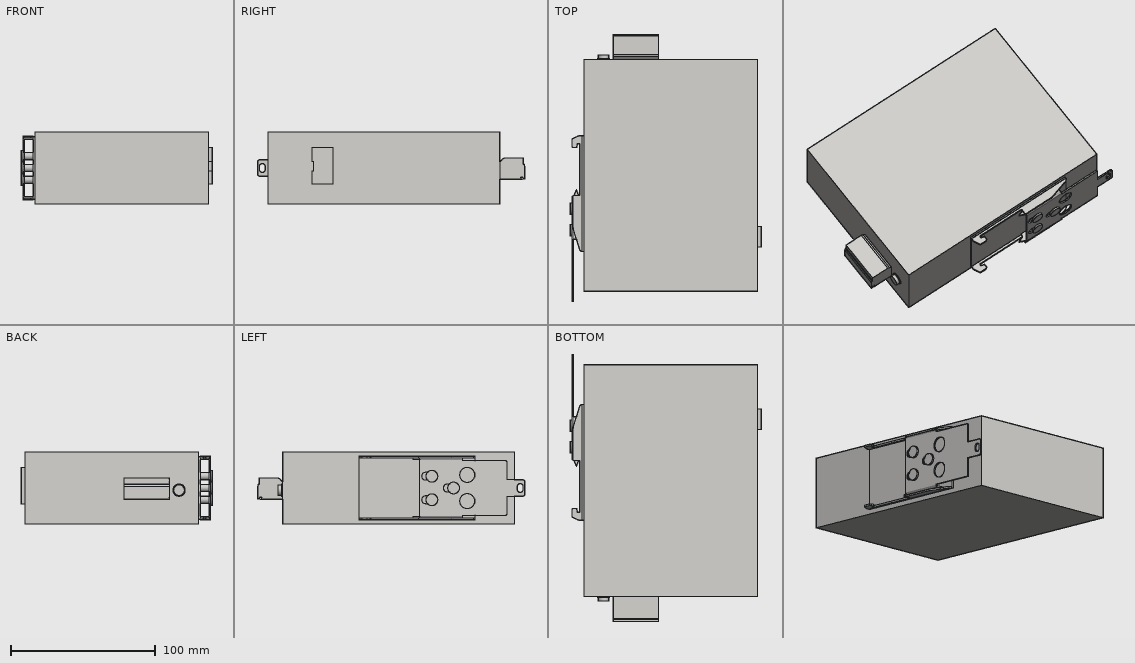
import cadquery as cq


case_depth = 120.2
case_length = 160.3
case_height = 50.0

bracket_half_height = 22.0
sheet = 1.2
web_inset = 0.4
bracket_start = 27.4
bracket_end = 107.5
rail_seat = 3.0
flange_depth = 7.5
flange_step_y = 66.4
taper_start_y = 43.6
flange_end_chamfer = 1.1

hook_depth = 8.3
hook_tip_y = 99.3
hook_chamfer = 0.7
hook_inner_x = 5.0
hook_root_x = 4.5
hook_root_y = 101.9
hook_slope_y = 105.4
hook_slope_x = 3.5

clip_depth = 8.3
clip_sheet = 1.1
clip_half_width = bracket_half_height - sheet
clip_end_y = 65.6
clip_flange_start = 35.9
tongue_half_width = 18.9
tongue_start = 5.4
tongue_corner = 0.7
tab_half_width = 5.7
tab_end = -7.2
tab_corner = 1.5
tab_hole_y = -3.9
tab_hole_length = 6.0
tab_hole_width = 3.9

barb_tip_x = 5.2
barb_tip_y = 70.2
barb_base_near = 3.3
barb_base_far = 7.2

pin_radius = 2.5
head_radius = 4.0
head_height = 1.3
slot_radius = 2.8
slot_travel = 4.3
side_pin_z = 8.1
side_pin_y = 57.1
middle_pin_y = 42.1
pin_places = [(side_pin_y, side_pin_z), (side_pin_y, -side_pin_z), (middle_pin_y, 0)]

clip_hole_radius = 5.2
clip_hole_y = 32.7
clip_hole_z = 9.0

terminal_x = 20.1
terminal_width = 31.5
terminal_end = 177.6
terminal_bottom = -8.0
terminal_top = 7.0
terminal_shoulder_y = 176.5
shoulder_bottom = 2.8
nose_bevel_y = 177.0
nose_bevel_z = 2.5
nose_top = 1.0
lip_bottom = -7.5
lip_inner_y = 176.2
lip_groove_top = -6.5
lip_groove_y = 174.7
lip_groove_mouth_y = 175.5
top_slope_y = 163.5
top_bend_y = 162.1
top_bend_z = 6.3
top_slope_end_z = 4.3

screw_x = 13.5
screw_z = -1.5
screw_radius = 3.7
screw_height = 3.1
washer_radius = 4.3
washer_height = 0.7

connector_depth = 2.5
connector_y = 30.5
connector_width = 14.5
connector_bottom = -11.0
connector_top = 14.2
connector_notch_bottom = -2.0
connector_notch_top = 4.6
connector_notch_depth = 1.0


def box(x_range, y_range, z_range):
    """Box between the given limits along each axis."""
    size = [high - low for low, high in (x_range, y_range, z_range)]
    corner = (x_range[0], y_range[0], z_range[0])
    return cq.Workplane("XY").box(*size, centered=False).translate(corner)


def back_cylinder(radius, y, z, x_start, x_end):
    """Cylinder along X between two depths."""
    plane = cq.Workplane("YZ", origin=(x_start, y, z))
    return plane.circle(radius).extrude(x_end - x_start)


def both_sides(body):
    """The body together with its mirror image below Z = 0."""
    return body.union(body.mirror("XY"))


def make_case():
    half = case_height / 2
    return box((0, case_depth), (0, case_length), (-half, half))


def make_bracket():
    web_half_height = bracket_half_height - web_inset
    web = box(
        (-sheet, 0),
        (bracket_start, bracket_end),
        (-web_half_height, web_half_height),
    )
    outline = [
        (-sheet, bracket_end),
        (-hook_slope_x, bracket_end),
        (-hook_depth, hook_slope_y),
        (-hook_depth, hook_tip_y + hook_chamfer),
        (-hook_depth + hook_chamfer, hook_tip_y),
        (-hook_inner_x, hook_tip_y),
        (-hook_root_x, hook_root_y),
        (-rail_seat, hook_root_y),
        (-rail_seat, flange_step_y),
        (-flange_depth, flange_step_y),
        (-flange_depth, taper_start_y),
        (-rail_seat, bracket_start + flange_end_chamfer),
        (-rail_seat + flange_end_chamfer, bracket_start),
        (-sheet, bracket_start),
    ]
    flange = (
        cq.Workplane("XY", origin=(0, 0, clip_half_width))
        .polyline(outline)
        .close()
        .extrude(sheet)
    )
    return web.union(both_sides(flange))


def make_clip_channel():
    """Plate and side flanges, with rounded bends, over the bracket."""
    channel = box(
        (-clip_depth, -sheet),
        (clip_flange_start, clip_end_y),
        (-clip_half_width, clip_half_width),
    )
    channel = channel.edges("|Y and <X").fillet(clip_sheet)
    inner_half_width = clip_half_width - clip_sheet
    hollow = box(
        (-clip_depth + clip_sheet, -sheet),
        (clip_flange_start, clip_end_y),
        (-inner_half_width, inner_half_width),
    )
    barb = (
        cq.Workplane("XY", origin=(0, 0, inner_half_width))
        .polyline([
            (-barb_base_far, clip_end_y),
            (-barb_tip_x, barb_tip_y),
            (-barb_base_near, clip_end_y),
        ])
        .close()
        .extrude(clip_sheet)
    )
    return channel.cut(hollow).union(both_sides(barb))


def make_clip_tongue():
    plate_x = (-clip_depth, -clip_depth + clip_sheet)
    tongue = box(
        plate_x,
        (tongue_start, clip_flange_start),
        (-tongue_half_width, tongue_half_width),
    )
    tongue = tongue.edges("|X and <Y").fillet(tongue_corner)
    tab = box(plate_x, (tab_end, tongue_start), (-tab_half_width, tab_half_width))
    tab = tab.edges("|X and <Y").fillet(tab_corner)
    tab_hole = (
        cq.Workplane("YZ", origin=(-clip_depth, tab_hole_y, 0))
        .slot2D(tab_hole_length, tab_hole_width, 90)
        .extrude(clip_sheet)
    )
    return tongue.union(tab).cut(tab_hole)


def make_clip():
    clip = make_clip_channel().union(make_clip_tongue())
    plate_inside = -clip_depth + clip_sheet
    for z in (-clip_hole_z, clip_hole_z):
        hole = back_cylinder(clip_hole_radius, clip_hole_y, z, -clip_depth, plate_inside)
        clip = clip.cut(hole)
    for y, z in pin_places:
        slot = (
            cq.Workplane("YZ", origin=(-clip_depth, y + slot_travel / 2, z))
            .slot2D(slot_travel + 2 * slot_radius, 2 * slot_radius)
            .extrude(clip_sheet)
        )
        clip = clip.cut(slot)
    return clip


def make_pin(y, z):
    shank = back_cylinder(pin_radius, y, z, -clip_depth, -sheet)
    head = back_cylinder(head_radius, y, z, -clip_depth - head_height, -clip_depth)
    return shank.union(head)


def make_terminal():
    """Terminal block: one outline in Y and Z, extruded along X."""
    outline = [
        (case_length, terminal_bottom),
        (lip_groove_mouth_y, terminal_bottom),
        (lip_groove_y, lip_groove_top),
        (lip_inner_y, lip_groove_top),
        (lip_inner_y, lip_bottom),
        (terminal_end, lip_bottom),
        (terminal_end, nose_top),
        (nose_bevel_y, nose_bevel_z),
        (terminal_shoulder_y, shoulder_bottom),
        (terminal_shoulder_y, terminal_top),
        (top_slope_y, terminal_top),
        (top_bend_y, top_bend_z),
        (case_length, top_slope_end_z),
    ]
    return (
        cq.Workplane("YZ", origin=(terminal_x, 0, 0))
        .polyline(outline)
        .close()
        .extrude(terminal_width)
    )


def make_screw():
    end_face = cq.Workplane("XZ", origin=(screw_x, case_length, screw_z))
    washer = end_face.circle(washer_radius).extrude(-washer_height)
    head = end_face.circle(screw_radius).extrude(-screw_height)
    return washer.union(head)


def make_connector():
    x_range = (case_depth, case_depth + connector_depth)
    body = box(
        x_range,
        (connector_y, connector_y + connector_width),
        (connector_bottom, connector_top),
    )
    notch = box(
        x_range,
        (connector_y, connector_y + connector_notch_depth),
        (connector_notch_bottom, connector_notch_top),
    )
    return body.cut(notch)


result = make_case().union(make_bracket()).union(make_clip())
for pin_y, pin_z in pin_places:
    result = result.union(make_pin(pin_y, pin_z))
result = result.union(make_terminal()).union(make_screw()).union(make_connector())